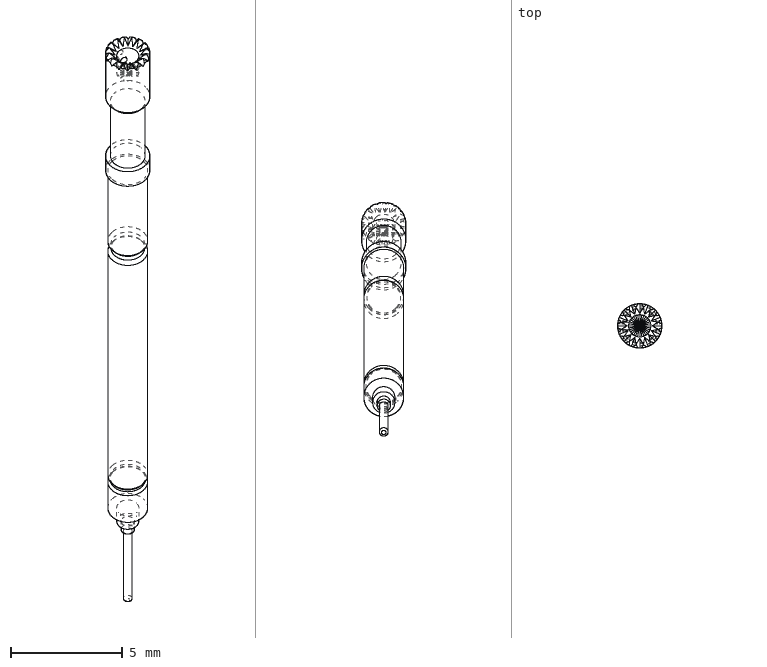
import cadquery as cq
import math

TOTAL_LENGTH = 35.8

HEAD_RADIUS = 1.0
HEAD_BOTTOM_Z = 32.8
HEAD_CHAMFER_HEIGHT = 0.3
TOOTH_COUNT = 16
TOOTH_GAP_ANGLE = 60.0
CREST_RADIUS = 0.85
CUP_RADIUS = 0.5
CUP_RIM_DEPTH = 0.36
CUP_DEPTH = 1.3
STAR_PLUG_HEIGHT = 0.3
NOTCH_OVERRUN = 0.2
VENT_RADIUS = 0.16
VENT_Z = 34.69

PLUNGER_RADIUS = 0.78
COLLAR_RADIUS = 1.0
COLLAR_TOP_Z = 28.95
COLLAR_HEIGHT = 0.95
BARREL_RADIUS = 0.9
BARREL_BOTTOM_Z = 6.0

UPPER_GROOVE_Z = 23.06
UPPER_GROOVE_WIDTH = 0.64
UPPER_GROOVE_DEPTH = 0.14
UPPER_GROOVE_FLOOR = 0.24
LOWER_GROOVE_Z = 7.95
LOWER_GROOVE_WIDTH = 0.43
LOWER_GROOVE_DEPTH = 0.1
LOWER_GROOVE_FLOOR = 0.12

TAIL_RADIUS = 0.5
TAIL_BOTTOM_Z = 5.13
SHOULDER_RADIUS = 0.3
SHOULDER_BOTTOM_Z = 4.6
PIN_RADIUS = 0.2
SHOULDER_TAPER = SHOULDER_RADIUS - PIN_RADIUS
TIP_CHAMFER = 0.1


def groove_points(center_z, width, depth, floor):
    """Outline of one tapered crimp groove, from bottom to top, as (radius, z)."""
    floor_radius = BARREL_RADIUS - depth
    return [
        (BARREL_RADIUS, center_z - width / 2),
        (floor_radius, center_z - floor / 2),
        (floor_radius, center_z + floor / 2),
        (BARREL_RADIUS, center_z + width / 2),
    ]


def turned_body():
    """Everything turned on the axis, solid, with the bevelled head rim."""
    collar_bottom_z = COLLAR_TOP_Z - COLLAR_HEIGHT
    outline = [
        (0, 0),
        (PIN_RADIUS - TIP_CHAMFER, 0),
        (PIN_RADIUS, TIP_CHAMFER),
        (PIN_RADIUS, SHOULDER_BOTTOM_Z - SHOULDER_TAPER),
        (SHOULDER_RADIUS, SHOULDER_BOTTOM_Z),
        (SHOULDER_RADIUS, TAIL_BOTTOM_Z),
        (TAIL_RADIUS, TAIL_BOTTOM_Z),
        (TAIL_RADIUS, BARREL_BOTTOM_Z),
        (BARREL_RADIUS, BARREL_BOTTOM_Z),
        *groove_points(LOWER_GROOVE_Z, LOWER_GROOVE_WIDTH, LOWER_GROOVE_DEPTH, LOWER_GROOVE_FLOOR),
        *groove_points(UPPER_GROOVE_Z, UPPER_GROOVE_WIDTH, UPPER_GROOVE_DEPTH, UPPER_GROOVE_FLOOR),
        (BARREL_RADIUS, collar_bottom_z),
        (COLLAR_RADIUS, collar_bottom_z),
        (COLLAR_RADIUS, COLLAR_TOP_Z),
        (PLUNGER_RADIUS, COLLAR_TOP_Z),
        (PLUNGER_RADIUS, HEAD_BOTTOM_Z - HEAD_CHAMFER_HEIGHT),
        (HEAD_RADIUS, HEAD_BOTTOM_Z),
        (HEAD_RADIUS, TOTAL_LENGTH - (HEAD_RADIUS - CREST_RADIUS)),
        (CREST_RADIUS, TOTAL_LENGTH),
        (0, TOTAL_LENGTH),
    ]
    return cq.Workplane("XZ").polyline(outline).close().revolve(360, (0, 0), (0, 1))


def cup_cutter():
    """Flat bottomed bore with a steep countersink up to the tooth crests."""
    cup_floor_z = TOTAL_LENGTH - CUP_DEPTH - STAR_PLUG_HEIGHT
    outline = [
        (0, cup_floor_z),
        (CUP_RADIUS, cup_floor_z),
        (CUP_RADIUS, TOTAL_LENGTH - CUP_RIM_DEPTH),
        (CREST_RADIUS, TOTAL_LENGTH),
        (0, TOTAL_LENGTH),
    ]
    return cq.Workplane("XZ").polyline(outline).close().revolve(360, (0, 0), (0, 1))


def with_serrations(body, crest_radius, top_z):
    """Cut a ring of radial V notches whose neighbours meet in sharp crests at the given radius and height."""
    gap_slope = 1 / math.tan(math.radians(TOOTH_GAP_ANGLE / 2))
    depth = crest_radius * math.tan(math.pi / TOOTH_COUNT) * gap_slope
    cutter_height = depth + NOTCH_OVERRUN
    half_width = cutter_height / gap_slope
    notch = (
        cq.Workplane("YZ")
        .moveTo(0, top_z - depth)
        .lineTo(half_width, top_z - depth + cutter_height)
        .lineTo(-half_width, top_z - depth + cutter_height)
        .close()
        .extrude(HEAD_RADIUS + NOTCH_OVERRUN)
    )
    for index in range(TOOTH_COUNT):
        angle = index * 360 / TOOTH_COUNT
        body = body.cut(notch.rotate((0, 0, 0), (0, 0, 1), angle))
    return body


def cup_star():
    """Plug filling the bottom of the cup, its top notched like the rim."""
    plug = (
        cq.Workplane("XY")
        .workplane(offset=TOTAL_LENGTH - CUP_DEPTH - STAR_PLUG_HEIGHT)
        .circle(CUP_RADIUS)
        .extrude(STAR_PLUG_HEIGHT)
    )
    return with_serrations(plug, CUP_RADIUS, TOTAL_LENGTH - CUP_DEPTH)


def vent_cutter():
    """Cross hole through the -X wall of the cup."""
    return (
        cq.Workplane("YZ")
        .center(0, VENT_Z)
        .circle(VENT_RADIUS)
        .extrude(-2 * HEAD_RADIUS)
    )


hollow_body = turned_body().cut(cup_cutter())
toothed_body = with_serrations(hollow_body, CREST_RADIUS, TOTAL_LENGTH)
result = toothed_body.cut(vent_cutter()).union(cup_star())